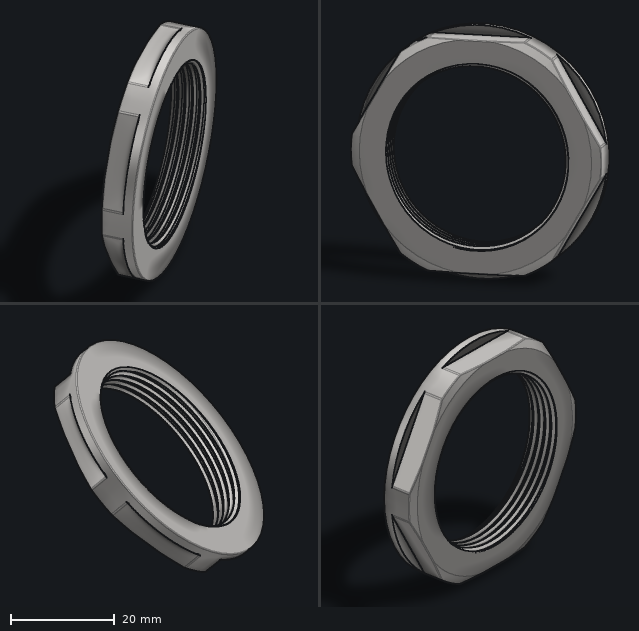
import cadquery as cq
import math


total_length = 6.94
flange_thickness = 2.0
flange_diameter = 50.09
rim_fillet = 0.2
across_flats = 46.2
flat_end_radius = 1.0
bevel_edge_radius = 0.2
face_chamfer_diameter = 46.4
face_chamfer_angle = 17.0

bore_diameter = 35.7
thread_major_diameter = 37.2
thread_pitch = 1.5
thread_half_angle = 32.0
thread_root_width = 0.45
thread_phase = 172.0
thread_overlap = 0.05
countersink_depth = 0.75

flange_radius = flange_diameter / 2
bore_radius = bore_diameter / 2
thread_major_radius = thread_major_diameter / 2
hex_length = total_length - flange_thickness


def x_cylinder(diameter, start, length):
    """Solid cylinder along X."""
    return cq.Workplane("YZ", origin=(start, 0, 0)).circle(diameter / 2).extrude(length)


def hex_section():
    """Hexagon with its corners rounded by the flange cylinder and softened flat ends."""
    across_corners = across_flats / math.cos(math.pi / 6)
    hexagon = cq.Workplane("YZ").polygon(6, across_corners).extrude(hex_length)
    rounded = hexagon.intersect(x_cylinder(flange_diameter, 0, hex_length))
    return rounded.edges("|X").fillet(flat_end_radius)


def face_cone():
    """Turned envelope that bevels the hexagon corners at the wrench face."""
    face_radius = face_chamfer_diameter / 2
    bevel_depth = (flange_radius - face_radius) * math.tan(math.radians(face_chamfer_angle))
    profile = (
        cq.Workplane("XY")
        .moveTo(0, 0)
        .lineTo(0, face_radius)
        .lineTo(bevel_depth, flange_radius)
        .lineTo(total_length, flange_radius)
        .lineTo(total_length, 0)
        .close()
    )
    return profile.revolve(360, (0, 0, 0), (1, 0, 0))


def beveled_hex():
    """Wrench section with its bevel and a small round where the bevel meets the sides."""
    blank = hex_section().intersect(face_cone())
    return blank.edges("not (|X or >X or (<X and %CIRCLE))").fillet(bevel_edge_radius)


def flange():
    """Round flange with a softened outer rim."""
    disc = x_cylinder(flange_diameter, hex_length, flange_thickness)
    return disc.faces(">X").edges("%CIRCLE").fillet(rim_fillet)


def thread_groove():
    """Helical trapezoidal cutter that runs one pitch past both ends of the bore."""
    inner_radius = bore_radius - thread_overlap
    root_half = thread_root_width / 2
    flank_height = thread_major_radius - inner_radius
    mouth_half = root_half + flank_height * math.tan(math.radians(thread_half_angle))

    helix = cq.Wire.makeHelix(thread_pitch, total_length + 2 * thread_pitch, inner_radius)
    groove = (
        cq.Workplane("XZ")
        .moveTo(inner_radius, -mouth_half)
        .lineTo(thread_major_radius, -root_half)
        .lineTo(thread_major_radius, root_half)
        .lineTo(inner_radius, mouth_half)
        .close()
        .sweep(cq.Workplane(obj=helix), isFrenet=True)
    )
    start_angle = -90.0
    return (
        groove.rotate((0, 0, 0), (0, 1, 0), 90)
        .translate((-thread_pitch, 0, 0))
        .rotate((0, 0, 0), (1, 0, 0), thread_phase - start_angle)
    )


def countersink():
    """Cone that opens the flange end of the bore to the thread's major diameter."""
    cone_start = total_length - countersink_depth
    profile = (
        cq.Workplane("XY")
        .moveTo(cone_start, 0)
        .lineTo(cone_start, bore_radius)
        .lineTo(total_length, thread_major_radius)
        .lineTo(total_length, 0)
        .close()
    )
    return profile.revolve(360, (0, 0, 0), (1, 0, 0))


body = beveled_hex().union(flange())
threaded = body.cut(thread_groove())
bored = threaded.cut(x_cylinder(bore_diameter, 0, total_length))
result = bored.cut(countersink())